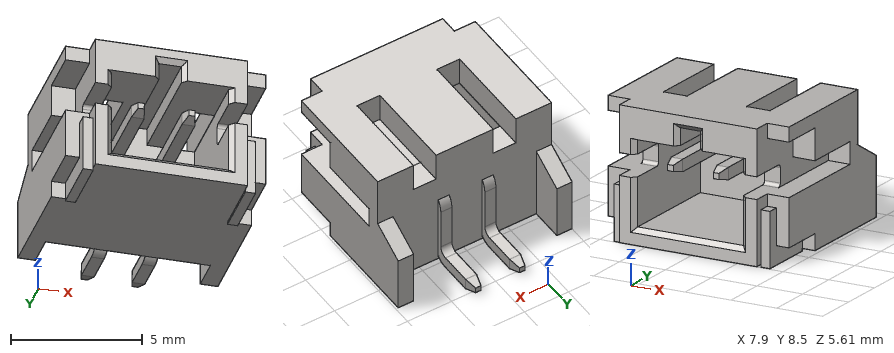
import cadquery as cq
import math


width = 7.9
total_height = 5.61
body_bottom = 0.1
body_depth = 6.1
nose_width = 6.0
nose_length = 0.81

arm_width = 0.7
arm_end = 7.53
arm_top = 3.4
arm_slope = 30.0

cavity_width = 4.62
cavity_floor = 0.79
cavity_roof = 4.34
cavity_depth = 5.015
key_width = 0.88
key_top = 5.05
lead_in = 0.195

side_slot_bottom = 2.79
side_slot_height = 0.91
side_slot_end = 5.51
wall_slot_end = 1.81
wall_slot_radius = 0.145
recess_end = 2.805
lower_recess_top = 0.78
flange_thickness = 0.6

top_slot_width = 1.03
top_slot_spacing = 3.62
top_slot_start = 2.2

tab_thickness = 0.4
tab_front = 0.31
tab_top = 2.295

pin_pitch = 2.0
pin_row_shift = -0.05
pin_size = 0.5
pin_front = 0.49
pin_rear = 8.5
pin_bottom = 0.03
pin_top = 3.51
pin_bend_start = 6.605
pin_inner_radius = 0.32
pin_taper_length = 0.5
pin_tip_size = 0.25

half_width = width / 2
half_nose = nose_width / 2
side_slot_top = side_slot_bottom + side_slot_height
flange_bottom = total_height - flange_thickness
arm_end_top = arm_top - (arm_end - body_depth) * math.tan(math.radians(arm_slope))


def box(x_range, y_range, z_range):
    """Box between two X, two Y and two Z places."""
    lengths = [end - start for start, end in (x_range, y_range, z_range)]
    corner = (x_range[0], y_range[0], z_range[0])
    return cq.Workplane("XY").box(*lengths, centered=False).translate(corner)


def centred_box(size_x, y_range, z_range):
    """Box centred on X."""
    return box((-size_x / 2, size_x / 2), y_range, z_range)


def both_sides(shape):
    """A shape together with its mirror image across the YZ plane."""
    return shape.union(shape.mirror("YZ"))


def make_shell():
    """Solid housing block with the two sloped rear arms."""
    block = centred_box(width, (0, body_depth), (body_bottom, total_height))
    arm = (
        cq.Workplane("YZ", origin=(half_width - arm_width, 0, 0))
        .moveTo(body_depth, body_bottom)
        .lineTo(arm_end, body_bottom)
        .lineTo(arm_end, arm_end_top)
        .lineTo(body_depth, arm_top)
        .close()
        .extrude(arm_width)
    )
    return block.union(both_sides(arm))


def make_cavity():
    """Mating cavity with its key groove, flared at the mouth."""
    cavity = centred_box(cavity_width, (0, cavity_depth), (cavity_floor, cavity_roof))
    key = centred_box(key_width, (0, cavity_depth), (cavity_floor, key_top))

    def flare(size_x, top, mouth_top):
        mouth_bottom = cavity_floor - lead_in
        mouth_height = mouth_top - mouth_bottom
        return (
            cq.Workplane("XZ")
            .center(0, (mouth_top + mouth_bottom) / 2)
            .rect(size_x + 2 * lead_in, mouth_height)
            .workplane(offset=-lead_in)
            .center(0, (top + cavity_floor - mouth_top - mouth_bottom) / 2)
            .rect(size_x, top - cavity_floor)
            .loft(ruled=True)
        )

    cavity_flare = flare(cavity_width, cavity_roof, cavity_roof)
    key_flare = flare(key_width, key_top, key_top + lead_in)
    return cavity.union(key).union(cavity_flare).union(key_flare)


def make_side_cuts():
    """Corner steps, stepped recesses and long slots in both outer sides."""
    side = (half_nose, half_width)
    corner = box(side, (0, nose_length), (body_bottom, total_height))
    upper = box(side, (0, recess_end), (side_slot_top, flange_bottom))
    lower = box(side, (0, recess_end), (body_bottom, lower_recess_top))
    slot = box(side, (0, side_slot_end), (side_slot_bottom, side_slot_top))
    return both_sides(corner.union(upper).union(lower).union(slot))


def make_wall_slot():
    """Slot from the mating face through both cavity walls, with a rounded end."""
    slot = centred_box(nose_width, (0, wall_slot_end), (side_slot_bottom, side_slot_top))
    return slot.edges("|X and >Y").fillet(wall_slot_radius)


def make_top_slots():
    """Slots open at the top and rear that break into the cavity."""
    centre = top_slot_spacing / 2
    x_range = (centre - top_slot_width / 2, centre + top_slot_width / 2)
    return both_sides(box(x_range, (top_slot_start, body_depth), (cavity_roof, total_height)))


def make_tabs():
    """L-shaped solder tabs along the front lower corners."""
    x_range = (half_nose, half_nose + tab_thickness)
    foot = box(x_range, (tab_front, recess_end), (0, lower_recess_top))
    leg = box(x_range, (tab_front, nose_length), (0, tab_top))
    return both_sides(foot.union(leg))


def make_tip(y_base, z_centre, direction):
    """Tapered pin end pointing along +Y (direction 1) or -Y (direction -1)."""
    return (
        cq.Workplane("XZ", origin=(0, y_base, z_centre))
        .rect(pin_size, pin_size)
        .workplane(offset=-direction * pin_taper_length)
        .rect(pin_tip_size, pin_tip_size)
        .loft(ruled=True)
    )


def make_pin():
    """Square pin: contact, downward leg and solder foot joined by two bends."""
    bend_radius = pin_inner_radius + pin_size / 2
    contact_z = pin_top - pin_size / 2
    foot_z = pin_bottom + pin_size / 2
    leg_y = pin_bend_start - bend_radius
    contact_start = pin_front + pin_taper_length
    foot_end = pin_rear - pin_taper_length
    arc_offset = bend_radius * (1 - math.sqrt(0.5))
    path = (
        cq.Workplane("YZ")
        .moveTo(contact_start, contact_z)
        .lineTo(leg_y - bend_radius, contact_z)
        .threePointArc((leg_y - arc_offset, contact_z - arc_offset), (leg_y, contact_z - bend_radius))
        .lineTo(leg_y, foot_z + bend_radius)
        .threePointArc((leg_y + arc_offset, foot_z + arc_offset), (pin_bend_start, foot_z))
        .lineTo(foot_end, foot_z)
    )
    bar = cq.Workplane("XZ", origin=(0, contact_start, contact_z)).rect(pin_size, pin_size).sweep(path)
    front_tip = make_tip(contact_start, contact_z, -1)
    rear_tip = make_tip(foot_end, foot_z, 1)
    return bar.union(front_tip).union(rear_tip)


housing = make_shell()
for cut in (make_cavity(), make_side_cuts(), make_wall_slot(), make_top_slots()):
    housing = housing.cut(cut)

result = housing.union(make_tabs())
for side in (-1, 1):
    result = result.union(make_pin().translate((pin_row_shift + side * pin_pitch / 2, 0, 0)))